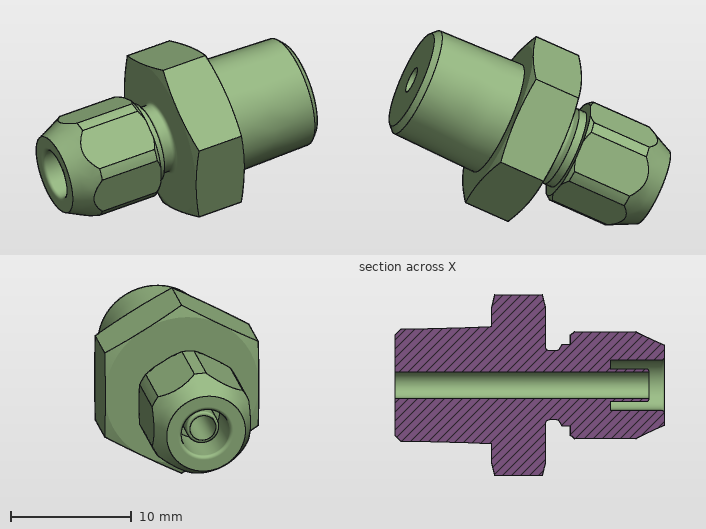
import cadquery as cq
import math

length = 22.35

nut_flats = 8.16
nut_corner_radius = 4.45
nut_length = 7.83
nut_face_radius = 3.33
nut_cone_length = 2.37
nut_back_radius = 4.15
nut_back_chamfer = 0.34

socket_radius = 2.05
socket_depth = 4.47
socket_mouth_fillet = 0.3
insert_radius = 1.36
insert_setback = 1.3
insert_end_fillet = 0.18
bore_radius = 1.1

collar_radius = 3.4
collar_end = 8.52
neck_radius = 2.88
neck_fillet = 0.31
collar_cone_angle = 60.0

flange_flats = 13.0
flange_start = 9.85
flange_width = 4.5
flange_end = flange_start + flange_width
flange_chamfer_angle = 15.0

thread_root_radius = 4.87
thread_tip_radius = 4.67
thread_chamfer = 0.5


def revolve_about_y(outline):
    """Turn a closed (radius, y) outline around the Y axis."""
    return outline.close().revolve(360, (0, 0, 0), (0, 1, 0))


def hexagon(flats, start, end):
    """Hexagonal prism along Y with flats facing +X and -X and corners at +Z and -Z."""
    corner_circle = flats / math.cos(math.radians(30))
    return (
        cq.Workplane("XZ", origin=(0, start, 0))
        .transformed(rotate=(0, 0, 90))
        .polygon(6, corner_circle)
        .extrude(start - end)
    )


def make_nut():
    turned = revolve_about_y(
        cq.Workplane("XY")
        .moveTo(0, 0)
        .lineTo(nut_face_radius, 0)
        .lineTo(nut_corner_radius, nut_cone_length)
        .lineTo(nut_corner_radius, nut_length - nut_back_chamfer)
        .lineTo(nut_back_radius, nut_length)
        .lineTo(0, nut_length)
    )
    return hexagon(nut_flats, 0, nut_length).intersect(turned)


def make_neck():
    """Collar and neck: the neck is blended into the collar cone and into the flange."""
    angle = math.radians(collar_cone_angle)
    half_angle = angle / 2
    blend_radius = neck_radius + neck_fillet * (1 - math.cos(angle))
    blend_mid_radius = neck_radius + neck_fillet * (1 - math.cos(half_angle))
    blend_start = collar_end + (collar_radius - blend_radius) / math.tan(angle)
    blend_end = blend_start + neck_fillet * math.sin(angle)
    return revolve_about_y(
        cq.Workplane("XY")
        .moveTo(0, nut_length)
        .lineTo(collar_radius, nut_length)
        .lineTo(collar_radius, collar_end)
        .lineTo(blend_radius, blend_start)
        .threePointArc(
            (blend_mid_radius, blend_end - neck_fillet * math.sin(half_angle)),
            (neck_radius, blend_end),
        )
        .lineTo(neck_radius, flange_start - neck_fillet)
        .radiusArc((neck_radius + neck_fillet, flange_start), neck_fillet)
        .lineTo(0, flange_start)
    )


def make_flange():
    """Hexagon with both faces turned down to a circle that touches the flats."""
    face_radius = flange_flats / 2
    corner_radius = face_radius / math.cos(math.radians(30))
    chamfer_depth = (corner_radius - face_radius) * math.tan(math.radians(flange_chamfer_angle))
    turned = revolve_about_y(
        cq.Workplane("XY")
        .moveTo(0, flange_start)
        .lineTo(face_radius, flange_start)
        .lineTo(corner_radius, flange_start + chamfer_depth)
        .lineTo(corner_radius, flange_end - chamfer_depth)
        .lineTo(face_radius, flange_end)
        .lineTo(0, flange_end)
    )
    return hexagon(flange_flats, flange_start, flange_end).intersect(turned)


def make_thread():
    return revolve_about_y(
        cq.Workplane("XY")
        .moveTo(0, flange_end)
        .lineTo(thread_root_radius, flange_end)
        .lineTo(thread_tip_radius, length - thread_chamfer)
        .lineTo(thread_tip_radius - thread_chamfer, length)
        .lineTo(0, length)
    )


def make_passage():
    """Void inside the fitting: tube socket around the insert, plus the through bore."""
    return revolve_about_y(
        cq.Workplane("XY")
        .moveTo(0, 0)
        .lineTo(socket_radius + socket_mouth_fillet, 0)
        .radiusArc((socket_radius, socket_mouth_fillet), socket_mouth_fillet)
        .lineTo(socket_radius, socket_depth)
        .lineTo(insert_radius, socket_depth)
        .lineTo(insert_radius, insert_setback + insert_end_fillet)
        .radiusArc((insert_radius - insert_end_fillet, insert_setback), insert_end_fillet)
        .lineTo(bore_radius, insert_setback)
        .lineTo(bore_radius, length)
        .lineTo(0, length)
    )


body = make_nut().union(make_neck()).union(make_flange()).union(make_thread())
result = body.cut(make_passage())